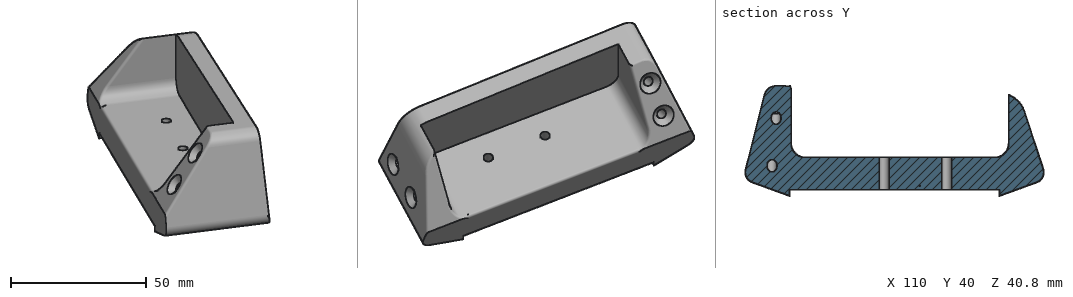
import cadquery as cq
import math

width = 110.0
depth = 39.96
height = 40.82
front_y = -depth / 2
back_y = depth / 2

foot_inner_x = 38.6
foot_height = 2.3
recess_back_y = front_y + 38.45
underside_angle = 20.0
left_lean = 18.0
right_lean = 14.0
top_slope = 2.0
side_radius = 4.0
top_left_radius = 10.0
top_right_radius = 5.0

back_draft = 3.0
bevel_start_z = 14.3
bevel_lean = 37.0

edge_radius = 1.0

pocket_left_x = -42.0
pocket_width = 80.0
pocket_back_y = front_y + 30.3
pocket_floor_z = bevel_start_z
pocket_radius = 5.0

hole_diameter = 3.5
sink_diameter = 8.0
sink_angle = 90.0
floor_hole_xs = (-19.2, 3.8)
floor_hole_y = front_y + 20.35
side_hole_ys = (front_y + 15.4, front_y + 31.2)
side_hole_z = 16.1
bevel_hole_places = ((43.6, 33.1), (45.1, 21.9))

tolerance = 0.01
margin = 5.0
through_length = 2 * width


def tan(angle):
    """Tangent of an angle in degrees."""
    return math.tan(math.radians(angle))


def tangent(centre, radius, normal_angle):
    """Tangent line of a circle, as its normal angle and its distance from the origin."""
    angle = math.radians(normal_angle)
    return angle, centre[0] * math.cos(angle) + centre[1] * math.sin(angle) + radius


def crossing(first, second):
    """Point where two lines cross, each given by normal angle and distance."""
    (a, p), (b, q) = first, second
    turn = math.sin(b - a)
    return (p * math.sin(b) - q * math.sin(a)) / turn, (q * math.cos(a) - p * math.cos(b)) / turn


side_arc_x = width / 2 - side_radius
side_arc_z = (side_arc_x - foot_inner_x) * tan(underside_angle)
side_arc_z += side_radius / math.cos(math.radians(underside_angle))
left_arc = (-side_arc_x, side_arc_z)
right_arc = (side_arc_x, side_arc_z)

left_side = tangent(left_arc, side_radius, 180 - left_lean)
right_side = tangent(right_arc, side_radius, right_lean)
left_underside = tangent(left_arc, side_radius, 270 - underside_angle)
right_underside = tangent(right_arc, side_radius, 270 + underside_angle)

top_arc_z = height - top_right_radius
top_arc_reach = right_side[1] - top_right_radius - top_arc_z * math.sin(right_side[0])
top_arc = (top_arc_reach / math.cos(right_side[0]), top_arc_z)
top_face = tangent(top_arc, top_right_radius, 90 + top_slope)

left_corner = crossing(left_underside, left_side)
right_corner = crossing(right_side, right_underside)
top_left_corner = crossing(left_side, top_face)
top_right_corner = crossing(top_face, right_side)


def bevel_y(z):
    """Y of the bevel plane at a given height."""
    return front_y + (z - bevel_start_z) * tan(bevel_lean)


def drafted_back_y(z):
    """Y of the back face at a given height."""
    return back_y - z * tan(back_draft)


def make_prism(rounded_corners):
    """XZ outline run along Y, with the given (corner, radius) pairs rounded."""
    outline = [
        (-foot_inner_x, 0),
        left_corner,
        top_left_corner,
        top_right_corner,
        right_corner,
        (foot_inner_x, 0),
        (foot_inner_x, foot_height),
        (-foot_inner_x, foot_height),
    ]
    prism = cq.Workplane("XZ", origin=(0, back_y, 0)).polyline(outline).close().extrude(depth)
    for (x, z), radius in rounded_corners:
        prism = prism.edges(cq.selectors.NearestToPointSelector((x, 0, z))).fillet(radius)
    return prism


def make_body():
    """Prism with rounded top corners, trimmed by the bevel and the drafted back."""
    top_corners = ((top_left_corner, top_left_radius), (top_right_corner, top_right_radius))
    prism = make_prism(top_corners)
    limit_z = height + margin
    flank = [
        (front_y, 0),
        (back_y, 0),
        (drafted_back_y(limit_z), limit_z),
        (bevel_y(limit_z), limit_z),
        (front_y, bevel_start_z),
    ]
    trim = cq.Workplane("YZ").polyline(flank).close().extrude(width, both=True)
    return prism.intersect(trim)


def round_wide_corners(body):
    """Round the widest corners; the rounded back edges run out into these arcs."""
    wide_corners = ((left_corner, side_radius), (right_corner, side_radius))
    return body.intersect(make_prism(wide_corners))


def cut_back_recess(body):
    """Upright recess between the feet that runs out where the drafted back passes it."""
    recess = cq.Workplane("XY").box(2 * foot_inner_x, depth, height, centered=(True, False, False))
    return body.cut(recess.translate((0, recess_back_y, 0)))


def cut_pocket(body):
    """Pocket with rounded lower corners."""
    pocket_depth = pocket_back_y - front_y + margin
    pocket_height = height - pocket_floor_z + margin
    pocket = (
        cq.Workplane("XY")
        .box(pocket_width, pocket_depth, pocket_height, centered=False)
        .edges("|Y and <Z")
        .fillet(pocket_radius)
        .translate((pocket_left_x, front_y - margin, pocket_floor_z))
    )
    return body.cut(pocket)


def lies_on_back(edge):
    """True for the side and top edges of the drafted back."""
    centre = edge.Center()
    return abs(centre.y - drafted_back_y(centre.z)) < tolerance and centre.z > side_arc_z


def lies_on_bevel(edge):
    """True for edges of the bevel and pocket mouth, except the two creases between the bevel and the front face."""
    centre = edge.Center()
    crease = abs(centre.z - bevel_start_z) < tolerance and abs(centre.x) > pocket_width / 2
    return abs(centre.y - bevel_y(centre.z)) < tolerance and not crease


def round_edges(body, chosen):
    """Round every edge picked out by the given test."""
    edges = [edge for edge in body.edges().vals() if chosen(edge)]
    return body.newObject(edges).fillet(edge_radius)


def countersunk_hole(point, inward):
    """Cutter for a through hole whose countersink opens at the given point."""
    sink_depth = (sink_diameter - hole_diameter) / 2 / tan(sink_angle / 2)
    start = cq.Vector(*point)
    direction = cq.Vector(*inward)
    drill = cq.Solid.makeCylinder(hole_diameter / 2, through_length, start, direction)
    sink = cq.Solid.makeCone(sink_diameter / 2, hole_diameter / 2, sink_depth, start, direction)
    return drill.fuse(sink)


def cut_screw_holes(body):
    """Plain holes in the floor; countersunk holes square to the left side and the bevel."""
    floor_points = [(x, floor_hole_y) for x in floor_hole_xs]
    drills = cq.Workplane("XY").pushPoints(floor_points).circle(hole_diameter / 2).extrude(height)
    body = body.cut(drills)

    side_angle, side_distance = left_side
    side_x = (side_distance - side_hole_z * math.sin(side_angle)) / math.cos(side_angle)
    side_inward = (-math.cos(side_angle), 0, -math.sin(side_angle))
    for y in side_hole_ys:
        body = body.cut(cq.Workplane(countersunk_hole((side_x, y, side_hole_z), side_inward)))

    lean = math.radians(bevel_lean)
    bevel_inward = (0, math.cos(lean), -math.sin(lean))
    for x, z in bevel_hole_places:
        body = body.cut(cq.Workplane(countersunk_hole((x, bevel_y(z), z), bevel_inward)))
    return body


part = make_body()
part = round_edges(part, lies_on_back)
part = round_wide_corners(part)
part = cut_back_recess(part)
part = cut_pocket(part)
part = round_edges(part, lies_on_bevel)
result = cut_screw_holes(part)